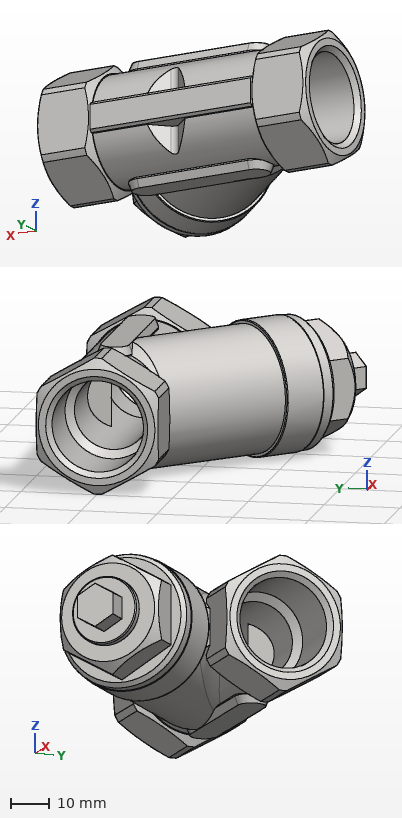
import cadquery as cq
import math

body_length = 79.95
body_diameter = 30.25
end_hex_flats = 32.1
end_hex_diameter = 36.0
end_hex_length = 16.0
end_face_diameter = 30.7
end_chamfer_angle = 30.0

bore_diameter = 20.0
thread_diameter = 24.1
thread_depth = 18.0
mouth_diameter = 26.9

rib_half_thickness = 4.1
rib_edge_chamfer = 0.7
dent_x = 2.05
dent_lowest_y = 9.65
dent_radius = 1.6
inner_ridge_y = 4.8

plate_base_length = 42.1
plate_base_width = 9.2
plate_top_z = 17.1
plate_edge_height = 2.3
plate_edge_inset = 0.9

branch_x = -14.0
branch_angle = -45.0
branch_diameter = 34.0
branch_start = 3.9
branch_root_length = 4.9
branch_root_diameter = 29.4
crotch_radius = 3.3
collar_diameter = 36.0
collar_start = 40.9
collar_length = 11.3
collar_chamfer = 0.25
cap_diameter = 35.5
cap_length = 4.1
cap_chamfer = 1.15
cap_hex_flats = 27.6
cap_hex_length = 9.0
cap_hex_face_diameter = 26.15
cap_hex_chamfer_angle = 45.0
neck_diameter = 16.0
neck_length = 0.6
flange_diameter = 18.0
flange_length = 2.1
flange_chamfer = 0.3
spindle_flats = 10.0
branch_end = 73.8

half_length = body_length / 2
across_corners = 1 / math.cos(math.radians(30))
branch_plane = cq.Plane(
    origin=(branch_x, 0, 0),
    xDir=(0, 0, 1),
    normal=(math.cos(math.radians(branch_angle)), math.sin(math.radians(branch_angle)), 0),
)


def x_plane(x):
    """Plane facing +X whose local x axis points along +Z."""
    return cq.Plane(origin=(x, 0, 0), xDir=(0, 0, 1), normal=(1, 0, 0))


def disc(plane, start, length, diameter):
    """Cylinder along the plane normal, beginning at a distance from the plane."""
    return cq.Workplane(plane).workplane(offset=start).circle(diameter / 2).extrude(length)


def chamfer_end(body, outer, size):
    """Chamfer the rim of the outer or inner end face of a round piece of the branch."""
    end_face = cq.selectors.DirectionMinMaxSelector(branch_plane.zDir, outer)
    return body.faces(end_face).chamfer(size)


def hexagon(plane, start, length, flats):
    """Hexagonal prism with two corners on the local x axis, which is Z."""
    return cq.Workplane(plane).workplane(offset=start).polygon(6, flats * across_corners).extrude(length)


def turned(plane, profile):
    """Solid of revolution about the plane normal, from (radius, station) points."""
    side = cq.Plane(origin=plane.origin, xDir=plane.xDir, normal=-plane.yDir)
    return cq.Workplane(side).polyline(profile).close().revolve(360, (0, 0, 0), (0, 1, 0))


def end_hex(x_start):
    """Hexagonal end whose corners are turned down and chamfered at both faces."""
    radius = end_hex_diameter / 2
    face_radius = end_face_diameter / 2
    chamfer = (radius - face_radius) * math.tan(math.radians(end_chamfer_angle))
    envelope = [
        (0, 0),
        (face_radius, 0),
        (radius, chamfer),
        (radius, end_hex_length - chamfer),
        (face_radius, end_hex_length),
        (0, end_hex_length),
    ]
    plane = x_plane(x_start)
    return hexagon(plane, 0, end_hex_length, end_hex_flats).intersect(turned(plane, envelope))


def v_prism(corner_y):
    """Right-angled V opening towards +Y, running through the body along Z."""
    rise = end_hex_flats - corner_y
    return (
        cq.Workplane("XY")
        .polyline([(dent_x, corner_y), (dent_x + rise, end_hex_flats), (dent_x - rise, end_hex_flats)])
        .close()
        .extrude(end_hex_diameter / 2, both=True)
    )


def dent():
    """V-shaped dent whose corner is rounded down to its lowest point."""
    corner_y = dent_lowest_y - dent_radius * (math.sqrt(2) - 1)
    return v_prism(corner_y).edges("|Z and <Y").fillet(dent_radius)


def rib():
    """Straight rib between the end hexagons, level with their +Y flats."""
    inner_length = body_length - 2 * end_hex_length
    outer_y = end_hex_flats / 2
    return (
        cq.Workplane("XY")
        .box(inner_length, outer_y - inner_ridge_y, 2 * rib_half_thickness)
        .edges(">Y and |X")
        .chamfer(rib_edge_chamfer)
        .translate((0, (outer_y + inner_ridge_y) / 2, 0))
    )


def label_plate():
    """Straight root with a tapered edge up to the flat label face."""
    edge_z = plate_top_z - plate_edge_height
    taper = math.degrees(math.atan(plate_edge_inset / plate_edge_height))
    root = cq.Workplane("XY").slot2D(plate_base_length, plate_base_width).extrude(edge_z)
    edge = (
        cq.Workplane("XY", origin=(0, 0, edge_z))
        .slot2D(plate_base_length, plate_base_width)
        .extrude(plate_edge_height, taper=taper)
    )
    return root.union(edge)


def crotch():
    """Body and branch tube joined by a fillet in the sharp corner between them."""
    overrun = 2 * body_length
    body = disc(x_plane(-overrun), 0, 2 * overrun, body_diameter)
    crossing = body.union(disc(branch_plane, -overrun, 2 * overrun, branch_diameter))
    seams = [edge for edge in crossing.edges().vals() if edge.geomType() == "BSPLINE"]
    sharp_seam = max(seams, key=lambda edge: edge.Center().x)
    filleted = crossing.newObject([sharp_seam]).fillet(crotch_radius)

    branch_span = disc(branch_plane, branch_start, collar_start - branch_start, 2 * body_length)
    inside_ends = cq.Workplane("XY").box(body_length - end_hex_length, overrun, overrun)
    return filleted.intersect(branch_span).intersect(inside_ends)


def branch():
    """Slanted branch with collar, screwed cap, neck, flange and hexagonal spindle."""
    cap_start = collar_start + collar_length
    hex_start = cap_start + cap_length
    neck_start = hex_start + cap_hex_length
    flange_start = neck_start + neck_length
    spindle_start = flange_start + flange_length

    root = [
        (0, branch_start - branch_root_length),
        (branch_root_diameter / 2, branch_start - branch_root_length),
        (branch_diameter / 2, branch_start),
        (0, branch_start),
    ]
    tube = disc(branch_plane, branch_start, collar_start - branch_start, branch_diameter)
    collar = disc(branch_plane, collar_start, collar_length, collar_diameter)
    collar = chamfer_end(collar, False, collar_chamfer)
    cap = disc(branch_plane, cap_start, cap_length, cap_diameter)
    cap = chamfer_end(cap, True, cap_chamfer)

    corner_radius = cap_hex_flats * across_corners / 2
    face_radius = cap_hex_face_diameter / 2
    chamfer = (corner_radius - face_radius) * math.tan(math.radians(cap_hex_chamfer_angle))
    envelope = [
        (0, hex_start),
        (corner_radius, hex_start),
        (corner_radius, neck_start - chamfer),
        (face_radius, neck_start),
        (0, neck_start),
    ]
    cap_hex = hexagon(branch_plane, hex_start, cap_hex_length, cap_hex_flats)
    cap_hex = cap_hex.intersect(turned(branch_plane, envelope))

    neck = disc(branch_plane, neck_start, neck_length, neck_diameter)
    flange = disc(branch_plane, flange_start, flange_length, flange_diameter)
    flange = chamfer_end(flange, True, flange_chamfer)
    spindle = hexagon(branch_plane, spindle_start, branch_end - spindle_start, spindle_flats)

    solid = turned(branch_plane, root).union(tube)
    for piece in (collar, cap, cap_hex, neck, flange, spindle):
        solid = solid.union(piece)
    return solid


def threaded_socket():
    """Threaded socket at the -X end with a chamfered mouth and a conical bottom."""
    thread_radius = thread_diameter / 2
    mouth_radius = mouth_diameter / 2
    bore_radius = bore_diameter / 2
    mouth_chamfer = mouth_radius - thread_radius
    cone_length = thread_radius - bore_radius
    profile = [
        (0, 0),
        (mouth_radius, 0),
        (thread_radius, mouth_chamfer),
        (thread_radius, thread_depth),
        (bore_radius, thread_depth + cone_length),
        (0, thread_depth + cone_length),
    ]
    return turned(x_plane(-half_length), profile)


def passage():
    """Through bore, narrowed by the V-shaped wall inside, with a socket at each end."""
    bore = disc(x_plane(-half_length), 0, body_length, bore_diameter)
    bore = bore.cut(v_prism(inner_ridge_y))
    inlet = threaded_socket()
    return bore.union(inlet).union(inlet.mirror("YZ"))


plate = label_plate()

result = disc(x_plane(-half_length), end_hex_length / 2, body_length - end_hex_length, body_diameter)
result = result.union(crotch()).cut(dent()).union(rib())
result = result.union(end_hex(-half_length)).union(end_hex(half_length - end_hex_length))
result = result.union(branch())
result = result.union(plate).union(plate.mirror("XY"))
result = result.cut(passage())